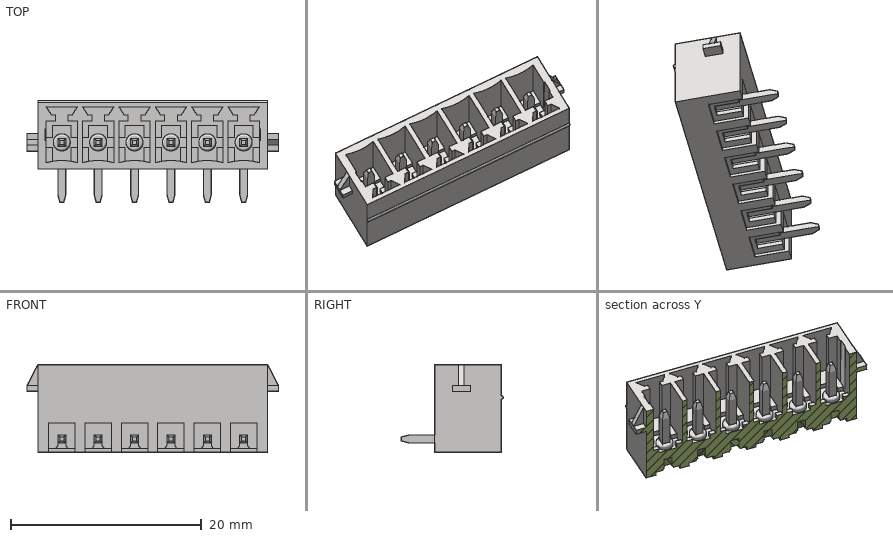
import cadquery as cq

HOUSING_LENGTH = 24.08
HOUSING_DEPTH = 6.98
HOUSING_HEIGHT = 9.2
FRONT_Y = 0.0
BACK_Y = FRONT_Y + HOUSING_DEPTH

POLES = 6
POLE_SPAN = 19.05
PITCH = POLE_SPAN / (POLES - 1)
POLE_XS = [i * PITCH - POLE_SPAN / 2 for i in range(POLES)]

PIN_WIDTH = 0.85
PIN_Y = FRONT_Y + 2.8
PIN_Z = 1.4
PIN_REACH = 3.5
PIN_TOP_Z = 7.67
PIN_TIP_LENGTH = 0.8
PIN_TIP_WIDTH = 0.42
PIN_HALF = PIN_WIDTH / 2

CAVITY_WIDTH = 3.27
CAVITY_FLOOR_Z = 3.55
CAVITY_FRONT_Y = FRONT_Y + 0.65
CAVITY_LENGTH = 4.35
CAVITY_BULGE = 0.25
NECK_WIDTH = 1.35
NECK_LENGTH = 0.63
DOVETAIL_NARROW_WIDTH = 2.13
DOVETAIL_LENGTH = 0.87

WELL_DEPTH = 0.53
WELL_WIDTH = 1.98
WELL_BACK_INSET = 0.47
CROSS_SLOT_WIDTH = 1.03
BOSS_DIAMETER = 1.8
BOSS_EDGE_RADIUS = 0.25

WALL_GROOVE_DEPTH = 0.1
WALL_GROOVE_WIDTH = 1.19
WALL_GROOVE_Y = PIN_Y + 0.8

WINDOW_WIDTH = 2.77
WINDOW_HEIGHT = 3.05
WINDOW_DEPTH = 0.53
UNDERCUT_HEIGHT = 0.4
UNDERCUT_DEPTH = 3.7
CHANNEL_MOUTH_WIDTH = 1.26
CHANNEL_FLARE_HEIGHT = 0.32

OVERALL_LENGTH = 26.35
LATCH_REACH = (OVERALL_LENGTH - HOUSING_LENGTH) / 2
LATCH_PLATE_WIDTH = 1.9
LATCH_PLATE_THICKNESS = 0.6
LATCH_PLATE_Z = 6.38
LATCH_RIB_WIDTH = 0.55
BACK_RIB_RADIUS = 0.18
BACK_RIB_REACH = 0.2
BACK_RIB_Z = 5.75


def box(width, y_from, y_to, z_from, z_to, x=0.0):
    """Block centred on x, spanning the given Y and Z ranges."""
    return (
        cq.Workplane("XY")
        .box(width, y_to - y_from, z_to - z_from, centered=(True, False, False))
        .translate((x, y_from, z_from))
    )


def cavity():
    """Cavity of one pole: wide bay, neck and dovetail, with the floor well and boss."""
    half = CAVITY_WIDTH / 2
    shoulder_y = CAVITY_FRONT_Y + CAVITY_LENGTH
    neck_end_y = shoulder_y + NECK_LENGTH
    dovetail_end_y = neck_end_y + DOVETAIL_LENGTH
    outline = (
        cq.Workplane("XY", origin=(0, 0, CAVITY_FLOOR_Z))
        .moveTo(-half, CAVITY_FRONT_Y)
        .threePointArc((0, CAVITY_FRONT_Y + CAVITY_BULGE), (half, CAVITY_FRONT_Y))
        .lineTo(half, shoulder_y)
        .lineTo(NECK_WIDTH / 2, shoulder_y)
        .lineTo(NECK_WIDTH / 2, neck_end_y)
        .lineTo(DOVETAIL_NARROW_WIDTH / 2, neck_end_y)
        .lineTo(half, dovetail_end_y)
        .lineTo(-half, dovetail_end_y)
        .lineTo(-DOVETAIL_NARROW_WIDTH / 2, neck_end_y)
        .lineTo(-NECK_WIDTH / 2, neck_end_y)
        .lineTo(-NECK_WIDTH / 2, shoulder_y)
        .lineTo(-half, shoulder_y)
        .close()
    )
    bay = outline.extrude(HOUSING_HEIGHT - CAVITY_FLOOR_Z)
    return bay.union(floor_well(bay))


def floor_well(bay):
    """Cross-shaped well in the cavity floor, less the boss that stands in it."""
    bottom_z = CAVITY_FLOOR_Z - WELL_DEPTH
    well_back_y = CAVITY_FRONT_Y + CAVITY_LENGTH - WELL_BACK_INSET
    half_slot = CROSS_SLOT_WIDTH / 2
    cross = box(WELL_WIDTH, CAVITY_FRONT_Y, well_back_y, bottom_z, CAVITY_FLOOR_Z).union(
        box(CAVITY_WIDTH, PIN_Y - half_slot, PIN_Y + half_slot, bottom_z, CAVITY_FLOOR_Z)
    )
    cross = cross.intersect(bay.translate((0, 0, -WELL_DEPTH)))
    boss = (
        cq.Workplane("XY", origin=(0, PIN_Y, bottom_z))
        .circle(BOSS_DIAMETER / 2)
        .extrude(WELL_DEPTH)
        .faces(">Z")
        .edges()
        .fillet(BOSS_EDGE_RADIUS)
    )
    return cross.cut(boss)


def pin_channel():
    """Front window, undercut and bottom-open channel that the pin is pressed into."""
    window = box(WINDOW_WIDTH, FRONT_Y, FRONT_Y + WINDOW_DEPTH, 0, WINDOW_HEIGHT)
    channel_back_y = PIN_Y + PIN_HALF
    undercut = box(WINDOW_WIDTH, FRONT_Y, FRONT_Y + UNDERCUT_DEPTH, 0, UNDERCUT_HEIGHT)
    channel = box(PIN_WIDTH, FRONT_Y, channel_back_y, 0, PIN_Z + PIN_HALF)
    flare_top_z = UNDERCUT_HEIGHT + CHANNEL_FLARE_HEIGHT
    flare = (
        cq.Workplane("XZ", origin=(0, FRONT_Y, 0))
        .moveTo(-CHANNEL_MOUTH_WIDTH / 2, UNDERCUT_HEIGHT)
        .lineTo(CHANNEL_MOUTH_WIDTH / 2, UNDERCUT_HEIGHT)
        .lineTo(PIN_HALF, flare_top_z)
        .lineTo(-PIN_HALF, flare_top_z)
        .close()
        .extrude(-(channel_back_y - FRONT_Y))
    )
    return window.union(undercut).union(channel).union(flare)


def right_wall_groove():
    """Groove in the +X wall of the last cavity, deepest at the top and fading out at the floor."""
    wall_x = POLE_XS[-1] + CAVITY_WIDTH / 2
    return (
        cq.Workplane("XZ", origin=(wall_x, WALL_GROOVE_Y, 0))
        .moveTo(0, CAVITY_FLOOR_Z)
        .lineTo(WALL_GROOVE_DEPTH, HOUSING_HEIGHT)
        .lineTo(0, HOUSING_HEIGHT)
        .close()
        .extrude(WALL_GROOVE_WIDTH / 2, both=True)
    )


def right_latch():
    """Latch on the +X end: flat plate with a sloping rib above it."""
    base_x = HOUSING_LENGTH / 2
    plate_top_z = LATCH_PLATE_Z + LATCH_PLATE_THICKNESS
    half = LATCH_PLATE_WIDTH / 2
    plate = box(
        LATCH_REACH, PIN_Y - half, PIN_Y + half,
        LATCH_PLATE_Z, plate_top_z, base_x + LATCH_REACH / 2,
    )
    rib = (
        cq.Workplane("XZ", origin=(base_x, PIN_Y, 0))
        .moveTo(0, plate_top_z)
        .lineTo(LATCH_REACH, plate_top_z)
        .lineTo(0, HOUSING_HEIGHT)
        .close()
        .extrude(LATCH_RIB_WIDTH / 2, both=True)
    )
    return plate.union(rib)


def back_rib():
    """Round-nosed rib along the whole back face."""
    axis_y = BACK_Y + BACK_RIB_REACH - BACK_RIB_RADIUS
    return (
        cq.Workplane("YZ", origin=(-HOUSING_LENGTH / 2, axis_y, BACK_RIB_Z))
        .circle(BACK_RIB_RADIUS)
        .extrude(HOUSING_LENGTH)
    )


def tapered_tip():
    """Square pyramid stump that ends a pin leg, pointing up from the origin."""
    return (
        cq.Workplane("XY")
        .rect(PIN_WIDTH, PIN_WIDTH)
        .workplane(offset=PIN_TIP_LENGTH)
        .rect(PIN_TIP_WIDTH, PIN_TIP_WIDTH)
        .loft(ruled=True)
    )


def make_pin():
    """Bent contact pin of the pole at X = 0."""
    top_shoulder_z = PIN_TOP_Z - PIN_TIP_LENGTH
    front_shoulder_y = FRONT_Y - PIN_REACH + PIN_TIP_LENGTH
    upright = box(PIN_WIDTH, PIN_Y - PIN_HALF, PIN_Y + PIN_HALF, PIN_Z - PIN_HALF, top_shoulder_z)
    level = box(PIN_WIDTH, front_shoulder_y, PIN_Y, PIN_Z - PIN_HALF, PIN_Z + PIN_HALF)
    top_tip = tapered_tip().translate((0, PIN_Y, top_shoulder_z))
    front_tip = (
        tapered_tip()
        .rotate((0, 0, 0), (1, 0, 0), 90)
        .translate((0, front_shoulder_y, PIN_Z))
    )
    return upright.union(level).union(top_tip).union(front_tip)


def make_housing():
    """Header housing with latches, cavities, windows and pin passages."""
    body = box(HOUSING_LENGTH, FRONT_Y, BACK_Y, 0, HOUSING_HEIGHT)
    latch = right_latch()
    body = body.union(latch).union(latch.mirror("YZ")).union(back_rib())
    pole_cut = cavity().union(pin_channel())
    pin = make_pin()
    for x in POLE_XS:
        body = body.cut(pole_cut.translate((x, 0, 0)))
        body = body.cut(pin.translate((x, 0, 0)))
    groove = right_wall_groove()
    return body.cut(groove).cut(groove.mirror("YZ"))


housing = make_housing()
pins = [make_pin().translate((x, 0, 0)) for x in POLE_XS]

result = cq.Compound.makeCompound([housing.val(), *[pin.val() for pin in pins]])